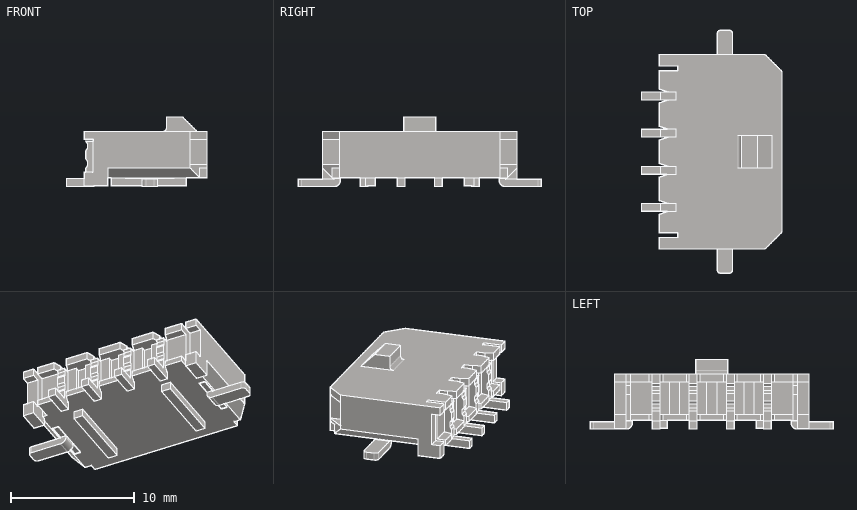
import cadquery as cq


rear_x = 1.43
front_x = 11.35
half_width = 7.86
top_z = 4.46
bottom_z = 0.7
corner_cut = 1.38
corner_x = front_x - corner_cut
corner_y = half_width - corner_cut
bottom_chamfer = 0.8

recess_x = 2.16
shelf_z = 1.18
plate_z = 3.81
groove_width = 0.83
groove_depth = 0.37

upper_notch_bottom = 1.79
lower_notch_x = 10.75

standoff_z = 0.05
end_foot_x = 3.35
pad_start_x = 3.62
pad_end_x = 9.69
pad_y = 3.99
pad_width = 0.8

slot_inner_y = 6.55
slot_outer_y = 6.92
slot_end_x = 2.93
lead_in = 0.3
slot_step_z = 2.81
slot_step_depth = 0.1
nail_x = 6.74
nail_width = 1.25
nail_tip_y = 9.82
nail_inner_y = 6.4
nail_thickness = 0.6
nail_bend_radius = 0.5
nail_tip_radius = 0.3
nail_plate_length = 3.91
nail_plate_z = 0.65

terminal_count = 4
pitch = 3.0
terminal_width = 0.65
foot_height = 0.67
foot_end_x = 2.24
column_x = 1.55
column_top = 3.67
terminal_slot_end_x = 2.81
neck_depth = 0.14
neck_ramp = 0.22
neck_height = 0.79
neck_bottoms = (1.47, 2.89)
flare_width = 1.1
flare_end_x = 2.1

latch_x = 8.08
latch_height = 1.18
latch_top_length = 1.3
latch_width = 2.6
latch_fillet = 0.3

terminal_ys = [(i - (terminal_count - 1) / 2) * pitch for i in range(terminal_count)]


def block(x0, x1, y0, y1, z0, z1):
    """Box given by its limits along each axis."""
    return cq.Workplane("XY").box(x1 - x0, y1 - y0, z1 - z0, centered=False).translate((x0, y0, z0))


def side_prism(points, y, width):
    """XZ outline extruded symmetrically about the given Y."""
    return cq.Workplane("XZ").polyline(points).close().extrude(width / 2, both=True).translate((0, y, 0))


def both_sides(shape):
    """The shape together with its mirror image in the XZ plane."""
    return shape.union(shape.mirror("XZ"))


def shell():
    outline = [
        (rear_x, -half_width),
        (corner_x, -half_width),
        (front_x, -corner_y),
        (front_x, corner_y),
        (corner_x, half_width),
        (rear_x, half_width),
    ]
    body = cq.Workplane("XY").polyline(outline).close().extrude(top_z - bottom_z).translate((0, 0, bottom_z))
    chamfer_top = bottom_z + bottom_chamfer
    wedge = (
        cq.Workplane("YZ")
        .polyline([
            (half_width, bottom_z),
            (half_width, chamfer_top),
            (half_width - bottom_chamfer, bottom_z),
        ])
        .close()
        .extrude(front_x - end_foot_x)
        .translate((end_foot_x, 0, 0))
    )
    upper_notch = block(corner_x, front_x, corner_y, half_width, upper_notch_bottom, plate_z)
    lower_notch = block(lower_notch_x, front_x, corner_y, half_width, bottom_z, chamfer_top)
    return body.cut(both_sides(wedge.union(upper_notch).union(lower_notch)))


def rear_recess():
    """Band open to the rear, with a shallow groove midway between terminals."""
    cutter = block(rear_x, recess_x, -half_width, half_width, shelf_z, plate_z)
    half_groove = groove_width / 2
    for y in terminal_ys[:-1]:
        middle = y + pitch / 2
        cutter = cutter.union(
            block(rear_x, recess_x + groove_depth, middle - half_groove, middle + half_groove, shelf_z, plate_z)
        )
    return cutter


def nail_slot():
    """Vertical slot whose end wall has a sloped lead-in under the top plate."""
    profile = [
        (rear_x, bottom_z),
        (slot_end_x + slot_step_depth, bottom_z),
        (slot_end_x + slot_step_depth, slot_step_z),
        (slot_end_x, slot_step_z),
        (slot_end_x, plate_z - lead_in),
        (slot_end_x + lead_in, plate_z),
        (slot_end_x, plate_z),
        (slot_end_x, top_z),
        (rear_x, top_z),
    ]
    return side_prism(profile, (slot_inner_y + slot_outer_y) / 2, slot_outer_y - slot_inner_y)


def terminal_slot(y):
    """Through slot with a flared mouth at the rear edge."""
    half_mouth = flare_width / 2
    half_slot = terminal_width / 2
    outline = [
        (rear_x, -half_mouth),
        (flare_end_x, -half_slot),
        (terminal_slot_end_x, -half_slot),
        (terminal_slot_end_x, half_slot),
        (flare_end_x, half_slot),
        (rear_x, half_mouth),
    ]
    return cq.Workplane("XY").polyline(outline).close().extrude(top_z - bottom_z).translate((0, y, bottom_z))


def terminal(y):
    """Solder foot and upright column with two shallow necks in its rear face."""
    profile = [
        (0, 0),
        (foot_end_x, 0),
        (foot_end_x, bottom_z),
        (terminal_slot_end_x, bottom_z),
        (terminal_slot_end_x, column_top),
        (column_x, column_top),
        (column_x, foot_height),
        (0, foot_height),
    ]
    body = side_prism(profile, y, terminal_width)
    for z in neck_bottoms:
        neck = [
            (column_x, z),
            (column_x + neck_depth, z + neck_ramp),
            (column_x + neck_depth, z + neck_height - neck_ramp),
            (column_x, z + neck_height),
        ]
        body = body.cut(side_prism(neck, y, terminal_width))
    return body


def standoffs():
    end_foot = block(rear_x, end_foot_x, slot_outer_y, half_width, standoff_z, shelf_z)
    half_pad = pad_width / 2
    pad = block(pad_start_x, pad_end_x, pad_y - half_pad, pad_y + half_pad, standoff_z, bottom_z)
    return both_sides(end_foot.union(pad))


def solder_nails():
    """Plate edge under the housing, bent outward into a round-cornered foot."""
    x0 = nail_x - nail_width / 2
    x1 = nail_x + nail_width / 2
    foot = block(x0, x1, nail_inner_y, nail_tip_y, 0, nail_thickness)
    foot = foot.edges("|Z and >Y").fillet(nail_tip_radius)
    riser = block(x0, x1, nail_inner_y, slot_outer_y, 0, bottom_z)
    nail = foot.union(riser).edges("|X and <Y and <Z").fillet(nail_bend_radius)
    half_plate = nail_plate_length / 2
    plate = block(
        nail_x - half_plate, nail_x + half_plate, nail_inner_y, slot_outer_y, nail_plate_z, bottom_z
    )
    return both_sides(nail.union(plate))


def latch():
    """Ramp falling at 45 degrees toward the mating end, with a fillet at its rear foot."""
    latch_top = top_z + latch_height
    ramp_x = latch_x + latch_top_length
    return (
        cq.Workplane("XZ")
        .moveTo(latch_x - latch_fillet, top_z)
        .radiusArc((latch_x, top_z + latch_fillet), -latch_fillet)
        .lineTo(latch_x, latch_top)
        .lineTo(ramp_x, latch_top)
        .lineTo(ramp_x + latch_height, top_z)
        .close()
        .extrude(latch_width / 2, both=True)
    )


result = shell().cut(rear_recess()).cut(both_sides(nail_slot()))
for terminal_y in terminal_ys:
    result = result.cut(terminal_slot(terminal_y)).union(terminal(terminal_y))
result = result.union(standoffs()).union(solder_nails()).union(latch())